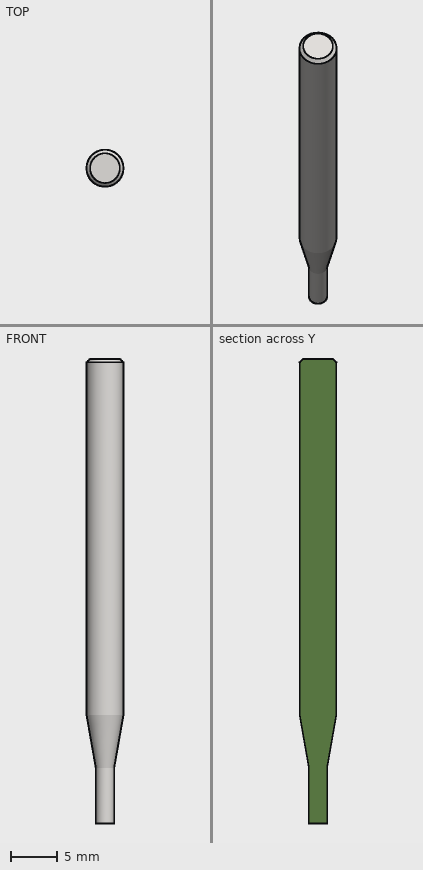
import cadquery as cq

total_length = 50.0
shank_diameter = 4.0
tip_diameter = 2.0
tip_length = 6.0
taper_length = 5.7
end_chamfer = 0.4

shank_radius = shank_diameter / 2
tip_radius = tip_diameter / 2
shank_start = tip_length + taper_length

profile = (
    cq.Workplane("XZ")
    .moveTo(0, 0)
    .lineTo(tip_radius, 0)
    .lineTo(tip_radius, tip_length)
    .lineTo(shank_radius, shank_start)
    .lineTo(shank_radius, total_length)
    .lineTo(0, total_length)
    .close()
)
body = profile.revolve(360, (0, 0, 0), (0, 1, 0))

result = body.faces(">Z").edges().chamfer(end_chamfer)